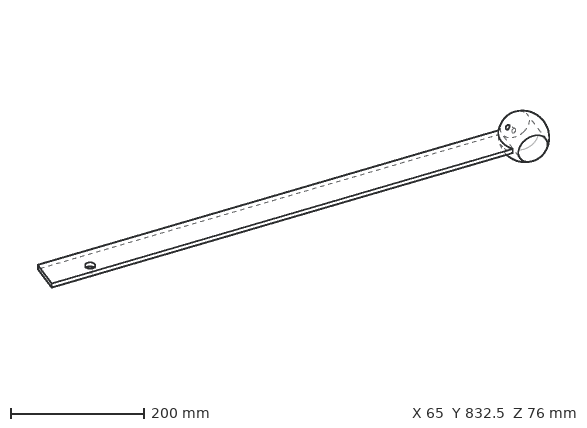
import cadquery as cq

total_length = 832.5
knob_width = 65.0
knob_diameter = 76.0
bore_diameter = 48.0

bar_width = 50.0
bar_thickness = 8.0
bar_hole_diameter = 15.0
bar_hole_offset_x = 10.0
bar_hole_end_distance = 71.0

pin_hole_diameter = 7.5
pin_hole_angle = 45

knob_radius = knob_diameter / 2
bore_radius = bore_diameter / 2
half_width = knob_width / 2
bar_end_y = -total_length / 2
knob_center_y = total_length / 2 - knob_radius


def make_knob():
    """Solid barrel about the X axis, narrowing to the bore rim at both ends."""
    profile = (
        cq.Workplane("XY")
        .moveTo(-half_width, 0)
        .lineTo(-half_width, bore_radius)
        .threePointArc((0, knob_radius), (half_width, bore_radius))
        .lineTo(half_width, 0)
        .close()
    )
    return profile.revolve(360, (0, 0, 0), (1, 0, 0)).translate((0, knob_center_y, 0))


def make_bar():
    """Flat bar reaching the knob centre, with a hole near its free end."""
    length = knob_center_y - bar_end_y
    bar = cq.Workplane("XY").box(bar_width, length, bar_thickness)
    bar = bar.translate((0, bar_end_y + length / 2, 0))
    hole = (
        cq.Workplane("XY")
        .center(bar_hole_offset_x, bar_end_y + bar_hole_end_distance)
        .circle(bar_hole_diameter / 2)
        .extrude(bar_thickness, both=True)
    )
    return bar.cut(hole)


def make_bore():
    """Cylinder along X that opens the knob from side to side."""
    bore = cq.Workplane("YZ").circle(bore_radius).extrude(half_width, both=True)
    return bore.translate((0, knob_center_y, 0))


def make_pin_hole():
    """Cylinder from the knob axis out through one wall."""
    pin = cq.Workplane("XY").circle(pin_hole_diameter / 2).extrude(knob_diameter)
    pin = pin.rotate((0, 0, 0), (1, 0, 0), pin_hole_angle)
    return pin.translate((0, knob_center_y, 0))


result = make_knob().union(make_bar()).cut(make_bore()).cut(make_pin_hole())